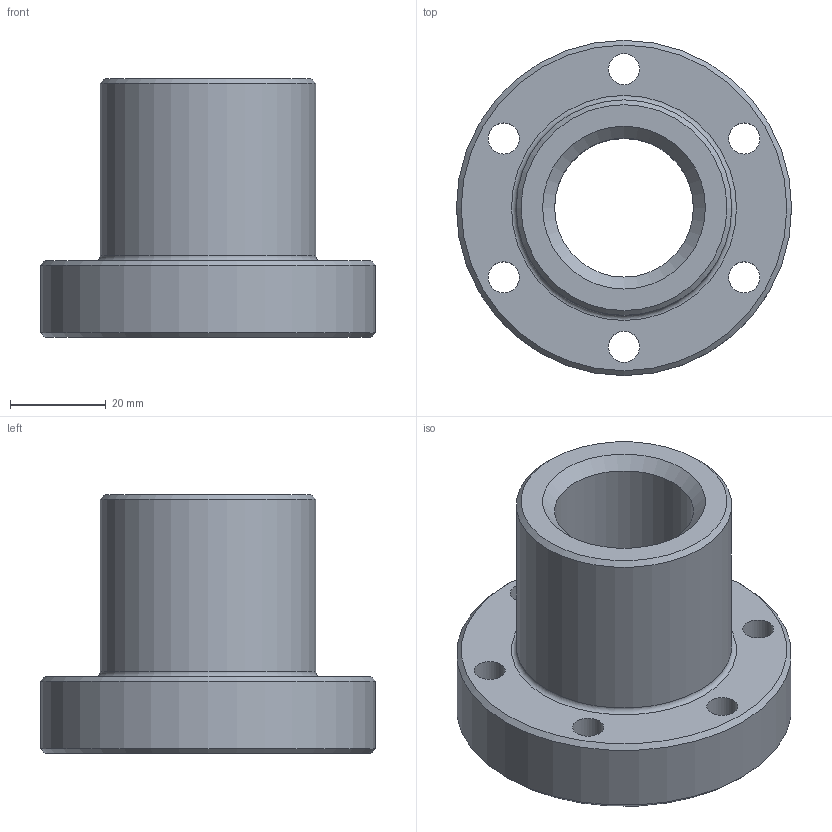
import cadquery as cq

flange_diameter = 70.0
flange_thickness = 16.0

barrel_diameter = 45.0
total_height = 54.0
root_fillet_radius = 1.0

edge_chamfer = 1.0

bore_diameter = 29.0
lead_in_diameter = 34.0
lead_in_depth = (lead_in_diameter - bore_diameter) / 2

hole_count = 6
hole_diameter = 6.5
bolt_circle_diameter = 58.0
first_hole_angle = 90.0


def make_body():
    """Flange, barrel and bore as one half section revolved about Z."""
    flange_radius = flange_diameter / 2
    barrel_radius = barrel_diameter / 2
    bore_radius = bore_diameter / 2
    lead_in_radius = lead_in_diameter / 2
    half_section = (
        cq.Workplane("XZ")
        .moveTo(bore_radius, 0)
        .lineTo(flange_radius - edge_chamfer, 0)
        .lineTo(flange_radius, edge_chamfer)
        .lineTo(flange_radius, flange_thickness - edge_chamfer)
        .lineTo(flange_radius - edge_chamfer, flange_thickness)
        .lineTo(barrel_radius + root_fillet_radius, flange_thickness)
        .radiusArc((barrel_radius, flange_thickness + root_fillet_radius), root_fillet_radius)
        .lineTo(barrel_radius, total_height - edge_chamfer)
        .lineTo(barrel_radius - edge_chamfer, total_height)
        .lineTo(lead_in_radius, total_height)
        .lineTo(bore_radius, total_height - lead_in_depth)
        .close()
    )
    return half_section.revolve(360, (0, 0, 0), (0, 1, 0))


def make_mounting_holes():
    """Evenly spaced cylinders on the bolt circle, as deep as the flange."""
    return (
        cq.Workplane("XY")
        .polarArray(bolt_circle_diameter / 2, first_hole_angle, 360, hole_count)
        .circle(hole_diameter / 2)
        .extrude(flange_thickness)
    )


result = make_body().cut(make_mounting_holes())